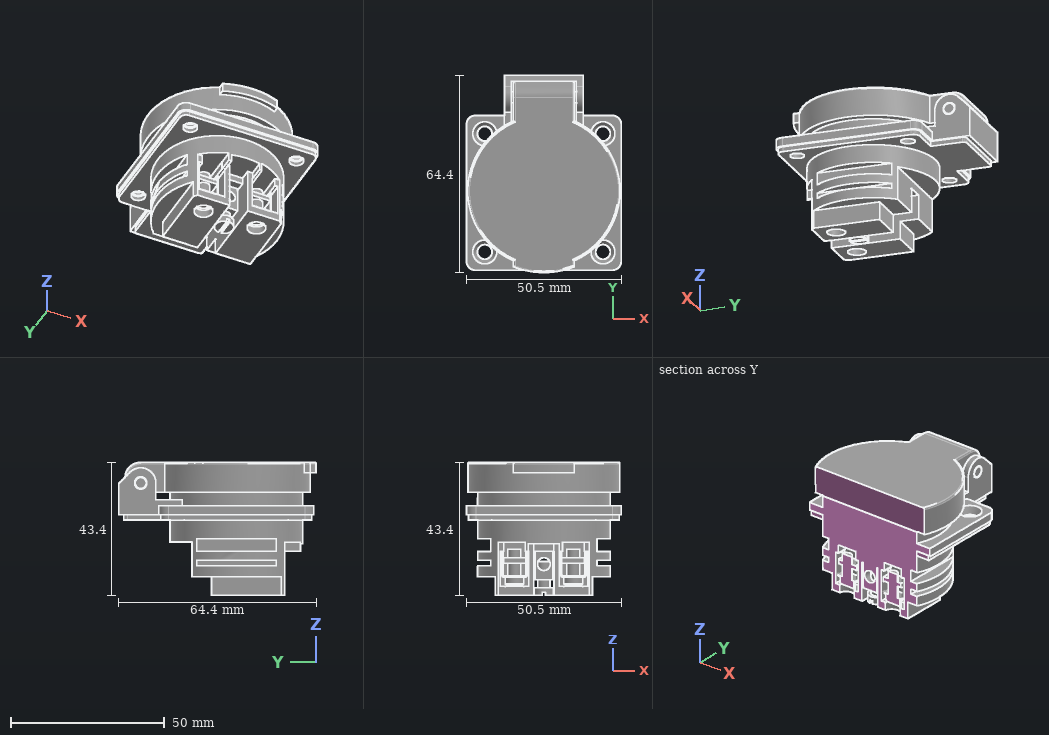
import cadquery as cq
import math


flange_side = 50.5
flange_thickness = 3.0
flange_corner_radius = 3.0
gasket_thickness = 1.7
gasket_inset = 0.65
gasket_hinge_back_y = 36.7
gasket_hinge_corner_radius = 1.1
screw_hole_offset = 19.25
screw_hole_diameter = 4.7
countersink_diameter = 7.8
countersink_depth = 2.5

barrel_radius = 21.65
lid_bottom_z = 7.3
shoulder_z = -8.85
middle_bottom_z = -20.15
housing_bottom_z = -26.25
front_face_y = -15.8
middle_back_y = 14.5
box_half_width = 15.9
box_back_y = 8.1
groove_flat_x = 17.35
groove_ranges = [(-11.85, -7.85), (-16.55, -14.85)]

lip_outer_half_width = 6.0
lip_inner_half_width = 5.05
lip_tab_bottom_z = -11.85
lip_middle_bottom_z = -9.45

terminal_x = 9.6
pocket_half_width = 4.63
pocket_floor_z = -23.25
pocket_top_z = -11.85
pocket_back_y = -5.3
pocket_neck_half_width = 3.53
screwdriver_hole_diameter = 6.1
terminal_screw_y = -9.3
bracket_half_width = 4.16
bracket_thickness = 0.45
bracket_bottom_z = -20.3
bracket_corner_radius = 0.8
bracket_front_y = -11.9
nut_width = 7.25
nut_front_y = -12.3
nut_bottom_z = -15.7
nut_top_z = -14.0
shank_diameter = 4.2
shank_top_z = -11.25
head_diameter = 6.1
head_bottom_z = -22.85
head_chamfer = 0.45

slot_half_width = 3.27
slot_top_z = -11.85
slot_mouth_back_y = -12.0
earth_y = -5.0
earth_block_half_width = 2.9
earth_block_depth = 8.0
earth_block_bottom_z = -21.15
wire_hole_diameter = 4.15
wire_hole_z = -16.05
earth_shank_diameter = 4.1
earth_shank_top_z = -15.15
earth_head_diameter = 6.3
earth_head_top_z = -23.7
driver_slot_width = 1.05
driver_slot_depth = 1.05

hinge_half_width = 12.9
hinge_back_y = 38.36
hinge_foot_front_y = 17.55
hinge_foot_top_z = 5.0
hinge_gap_half_width = 10.55
hinge_gap_back_y = 36.4
pin_y = 31.15
pin_z = 10.4
pin_radius = 1.8
pin_hole_radius = 2.0
ear_radius = 4.95

lid_top_z = 17.15
lid_center_y = 0.65
lid_radius = 24.8
lid_edge_radius = 0.5
arm_half_width = 9.9
arm_back_radius = 5.15
tab_radius = 26.65
tab_bottom_z = 13.65


def box(x_range, y_range, z_range):
    """Box between the given limits on each axis."""
    (x0, x1), (y0, y1), (z0, z1) = x_range, y_range, z_range
    return cq.Workplane("XY").box(x1 - x0, y1 - y0, z1 - z0, centered=False).translate((x0, y0, z0))


def wide_box(half_width, y_range, z_range):
    """Box centred on X = 0."""
    return box((-half_width, half_width), y_range, z_range)


def rod(diameter, x, y, z_range):
    """Upright cylinder centred on (x, y)."""
    z0, z1 = z_range
    return cq.Workplane("XY", origin=(x, y, z0)).circle(diameter / 2).extrude(z1 - z0)


def cross_rod(radius, half_length):
    """Cylinder along X on the hinge axis."""
    side = cq.Workplane("YZ", origin=(-half_length, 0, 0))
    return side.center(pin_y, pin_z).circle(radius).extrude(2 * half_length)


def rounded_plate(side, corner_radius, z_range):
    """Square plate with rounded corners."""
    z0, z1 = z_range
    plate = cq.Workplane("XY", origin=(0, 0, z0)).rect(side, side).extrude(z1 - z0)
    return plate.edges("|Z").fillet(corner_radius)


screw_hole_points = [
    (sx * screw_hole_offset, sy * screw_hole_offset) for sx in (-1, 1) for sy in (-1, 1)
]


def make_barrel():
    """Round barrel stepped down to the terminal box, with its side grooves and front lip."""
    reach = 2 * barrel_radius
    barrel = rod(2 * barrel_radius, 0, 0, (housing_bottom_z, lid_bottom_z))

    barrel = barrel.cut(wide_box(reach, (middle_back_y, reach), (housing_bottom_z, shoulder_z)))
    barrel = barrel.cut(wide_box(reach, (box_back_y, reach), (housing_bottom_z, middle_bottom_z)))
    for side in (-1, 1):
        x_range = sorted((side * box_half_width, side * reach))
        barrel = barrel.cut(box(x_range, (-reach, reach), (housing_bottom_z, middle_bottom_z)))

    front = (-reach, front_face_y)
    barrel = barrel.cut(wide_box(reach, front, (housing_bottom_z, lip_tab_bottom_z)))
    barrel = barrel.cut(wide_box(lip_inner_half_width, front, (lip_tab_bottom_z, lip_middle_bottom_z)))
    for side in (-1, 1):
        x_range = sorted((side * lip_outer_half_width, side * reach))
        barrel = barrel.cut(box(x_range, front, (lip_tab_bottom_z, shoulder_z)))

    for z_range in groove_ranges:
        for side in (-1, 1):
            x_range = sorted((side * groove_flat_x, side * reach))
            barrel = barrel.cut(box(x_range, (-reach, reach), z_range))
    return barrel


def make_hinge_block():
    """Hinge block behind the flange: two ears, a rear wall and a low foot."""
    diagonal = ear_radius * math.sqrt(0.5)
    slope_y = pin_y + diagonal
    slope_z = pin_z + diagonal
    back_top_z = slope_z - (hinge_back_y - slope_y)
    arc_mid_y = pin_y - ear_radius * math.sin(math.pi / 8)
    arc_mid_z = pin_z + ear_radius * math.cos(math.pi / 8)
    ear_front_y = pin_y - ear_radius
    block = (
        cq.Workplane("YZ", origin=(-hinge_half_width, 0, 0))
        .moveTo(hinge_foot_front_y, 0)
        .lineTo(hinge_back_y, 0)
        .lineTo(hinge_back_y, back_top_z)
        .lineTo(slope_y, slope_z)
        .threePointArc((arc_mid_y, arc_mid_z), (ear_front_y, pin_z))
        .lineTo(ear_front_y, hinge_foot_top_z)
        .lineTo(hinge_foot_front_y, hinge_foot_top_z)
        .close()
        .extrude(2 * hinge_half_width)
    )
    gap_y = (hinge_foot_front_y, hinge_gap_back_y)
    gap = wide_box(hinge_gap_half_width, gap_y, (flange_thickness, lid_top_z))
    return block.cut(gap).cut(cross_rod(pin_hole_radius, hinge_half_width))


def cut_screw_holes(flange):
    """Countersunk fixing holes at the four flange corners."""
    top = cq.Workplane("XY", origin=(0, 0, flange_thickness)).pushPoints(screw_hole_points)
    cutter = top.circle(screw_hole_diameter / 2).extrude(-flange_thickness)
    for x, y in screw_hole_points:
        cone = cq.Solid.makeCone(
            screw_hole_diameter / 2, countersink_diameter / 2, countersink_depth,
            pnt=cq.Vector(x, y, flange_thickness - countersink_depth),
        )
        cutter = cutter.union(cq.Workplane(cone))
    return flange.cut(cutter)


def make_pocket(x):
    """Space of one side terminal, with its screwdriver hole through the floor."""
    depth = (front_face_y, pocket_back_y)
    pocket = box((x - pocket_half_width, x + pocket_half_width), depth, (pocket_floor_z, pocket_top_z))
    neck = box((x - pocket_neck_half_width, x + pocket_neck_half_width), depth, (pocket_top_z, shoulder_z))
    access = rod(screwdriver_hole_diameter, x, terminal_screw_y, (housing_bottom_z, pocket_floor_z))
    return pocket.union(neck).union(access)


def make_side_terminal(side):
    """U bracket on the pocket's back wall with its clamping screw and a nut against the inner arm."""
    x = side * terminal_x
    bracket_y = (bracket_front_y, pocket_back_y)
    inner_half_width = bracket_half_width - bracket_thickness
    inner_x = (x - inner_half_width, x + inner_half_width)
    floor_z = bracket_bottom_z + bracket_thickness
    outer_x = (x - bracket_half_width, x + bracket_half_width)
    outside = box(outer_x, bracket_y, (bracket_bottom_z, pocket_top_z))
    outside = outside.edges("|Y and <Z").fillet(bracket_corner_radius)
    inside = box(inner_x, bracket_y, (floor_z, pocket_top_z))
    inside = inside.edges("|Y and <Z").fillet(bracket_corner_radius - bracket_thickness)
    nut_inner_x = terminal_x - inner_half_width
    nut_x = sorted((side * nut_inner_x, side * (nut_inner_x + nut_width)))
    nut = box(nut_x, (nut_front_y, pocket_back_y), (nut_bottom_z, nut_top_z))
    shank = rod(shank_diameter, x, terminal_screw_y, (bracket_bottom_z, shank_top_z))
    head = rod(head_diameter, x, terminal_screw_y, (head_bottom_z, bracket_bottom_z))
    head = head.faces("<Z").chamfer(head_chamfer)
    return outside.cut(inside).union(nut).union(shank).union(head)


def make_earth_slot():
    """Slot through the middle of the terminal box, taller at its mouth."""
    reach = barrel_radius
    slot = wide_box(slot_half_width, (front_face_y, reach), (housing_bottom_z, slot_top_z))
    mouth = wide_box(slot_half_width, (front_face_y, slot_mouth_back_y), (slot_top_z, lip_middle_bottom_z))
    return slot.union(mouth)


def make_earth_terminal():
    """Block hanging in the slot, with a wire hole and a slotted screw from below."""
    half_depth = earth_block_depth / 2
    block_y = (earth_y - half_depth, earth_y + half_depth)
    block = wide_box(earth_block_half_width, block_y, (earth_block_bottom_z, slot_top_z))
    wire_hole = (
        cq.Workplane("XZ", origin=(0, block_y[1], wire_hole_z))
        .circle(wire_hole_diameter / 2)
        .extrude(earth_block_depth)
    )
    shank = rod(earth_shank_diameter, 0, earth_y, (earth_head_top_z, earth_shank_top_z))
    head = rod(earth_head_diameter, 0, earth_y, (housing_bottom_z, earth_head_top_z))
    head_radius = earth_head_diameter / 2
    driver_slot = wide_box(
        driver_slot_width / 2,
        (earth_y - head_radius, earth_y + head_radius),
        (housing_bottom_z, housing_bottom_z + driver_slot_depth),
    )
    return block.cut(wire_hole).union(shank).union(head.cut(driver_slot))


def make_housing():
    flange = rounded_plate(flange_side, flange_corner_radius, (0, flange_thickness))
    housing = make_barrel().cut(make_earth_slot())
    for side in (-1, 1):
        housing = housing.cut(make_pocket(side * terminal_x))
    housing = housing.union(cut_screw_holes(flange)).union(make_hinge_block())
    for side in (-1, 1):
        housing = housing.union(make_side_terminal(side))
    return housing.union(make_earth_terminal())


def make_gasket():
    """Flat gasket under the flange and hinge block, fitted round the barrel."""
    z_range = (-gasket_thickness, 0)
    gasket = rounded_plate(flange_side - 2 * gasket_inset, flange_corner_radius - gasket_inset, z_range)
    tongue = wide_box(hinge_half_width - gasket_inset, (0, gasket_hinge_back_y), z_range)
    tongue = tongue.edges("|Z and >Y").fillet(gasket_hinge_corner_radius)
    gasket = gasket.union(tongue).cut(rod(2 * barrel_radius, 0, 0, z_range))
    for x, y in screw_hole_points:
        gasket = gasket.cut(rod(screw_hole_diameter, x, y, z_range))
    return gasket


def make_lid():
    """Round lid with a finger tab in front, a hinge arm behind and its two pivot stubs."""
    height = (lid_bottom_z, lid_top_z)
    arm_back_y = pin_y + arm_back_radius
    half_chord = math.sqrt(lid_radius**2 - arm_half_width**2)
    tab_corner_y = lid_center_y - math.sqrt(tab_radius**2 - arm_half_width**2)
    lid = (
        cq.Workplane("XY", origin=(0, 0, lid_bottom_z))
        .moveTo(arm_half_width, arm_back_y)
        .lineTo(-arm_half_width, arm_back_y)
        .lineTo(-arm_half_width, lid_center_y + half_chord)
        .threePointArc((-lid_radius, lid_center_y), (-arm_half_width, lid_center_y - half_chord))
        .lineTo(-arm_half_width, tab_corner_y)
        .threePointArc((0, lid_center_y - tab_radius), (arm_half_width, tab_corner_y))
        .lineTo(arm_half_width, lid_center_y - half_chord)
        .threePointArc((lid_radius, lid_center_y), (arm_half_width, lid_center_y + half_chord))
        .close()
        .extrude(lid_top_z - lid_bottom_z)
    )
    lid = lid.edges("|X and >Y and >Z").fillet(arm_back_radius)
    lid = lid.faces(">Z").edges("not >Y").fillet(lid_edge_radius)

    tab_y = (lid_center_y - tab_radius, lid_center_y)
    below_tab = wide_box(arm_half_width, tab_y, (lid_bottom_z, tab_bottom_z))
    lid = lid.cut(below_tab.cut(rod(2 * lid_radius, 0, lid_center_y, height)))
    return lid.union(cross_rod(pin_radius, hinge_half_width))


housing = make_housing()
gasket = make_gasket()
lid = make_lid()

bodies = [housing, gasket, lid]
result = cq.Compound.makeCompound([body.solids().val() for body in bodies])